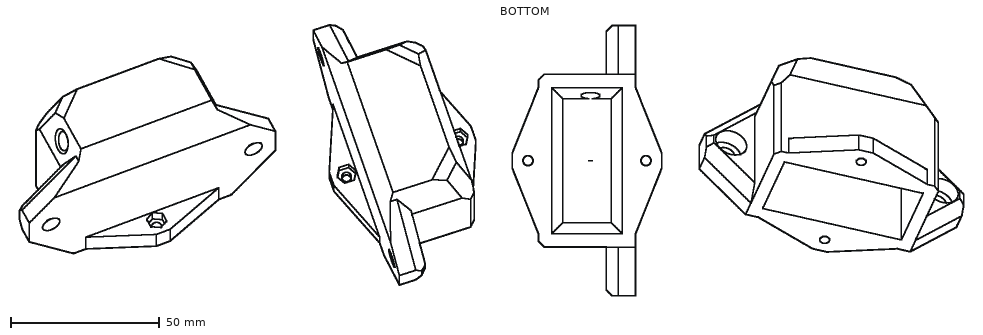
import cadquery as cq
import math

body_width = 32.9
body_length = 58.3
height = 52.0
taper_start = 36.9
top_inset = 4.9
wall = 4.6
post_chamfer = 2.0
taper_chamfer = 5.0
crown_height = 49.2
crown_chamfer = 9.1

ear_span = 91.3
ear_thickness = 9.95
ear_tip_bottom = 16.4
ear_tip_top = 27.6
ear_slope_chamfer = 4.1
ear_tip_chamfer = 2.0
ear_hole_spacing = 75.05
ear_hole_diameter = 6.3
ear_bore_diameter = 11.0
ear_bore_depth = 5.9

flange_width = 50.5
flange_thickness = 6.9
flange_root_length = 49.3
flange_tip_length = 5.1
flange_hole_x = 19.9
flange_hole_diameter = 3.3
nut_across_flats = 5.8
nut_depth = 3.65
hex_sides = 6

port_x = 1.2
port_z = 44.6
port_diameter = 6.4
port_mouth_diameter = 8.6
port_mouth_depth = 0.7

half_width = body_width / 2
half_length = body_length / 2
taper_slope = top_inset / (height - taper_start)
taper_angle = math.atan(taper_slope)


def tapered_block(inset):
    """Block with a tapered upper part, moved inwards by an even inset on its sides and top."""
    width = body_width - 2 * inset
    length = body_length - 2 * inset
    break_height = taper_start - inset * math.tan(taper_angle / 2)
    top_height = height - inset
    shrink = 2 * taper_slope * (top_height - break_height)
    lower = cq.Workplane("XY").rect(width, length).extrude(break_height)
    upper = (
        cq.Workplane("XY", origin=(0, 0, break_height))
        .rect(width, length)
        .workplane(offset=top_height - break_height)
        .rect(width - shrink, length - shrink)
        .loft(ruled=True)
    )
    return lower.union(upper)


def corner_wedge(side, levels):
    """Corner cutter at -X; levels pair each height with its leg from the block corner."""
    wedge = cq.Workplane("XY", origin=(-half_width, side * half_length, levels[0][0]))
    previous = levels[0][0]
    for level, leg in levels:
        wedge = wedge.workplane(offset=level - previous)
        wedge = wedge.polyline([(0, 0), (leg, 0), (0, -side * leg)]).close()
        previous = level
    return wedge.loft(ruled=True)


def make_body():
    body = tapered_block(0)
    facet_slope = 2 * taper_slope
    facet_start = taper_start - (taper_chamfer - post_chamfer) / facet_slope
    levels = [
        (0, post_chamfer),
        (facet_start, post_chamfer),
        (crown_height, taper_chamfer + facet_slope * (crown_height - taper_start)),
        (height, crown_chamfer + 2 * top_inset),
    ]
    for side in (-1, 1):
        body = body.cut(corner_wedge(side, levels))
    return body


def make_ears():
    half_span = ear_span / 2
    foot = half_span - ear_tip_bottom
    peak = half_span + ear_tip_top - height
    outline = [
        (-foot, 0), (foot, 0),
        (half_span, ear_tip_bottom), (half_span, ear_tip_top),
        (peak, height), (-peak, height),
        (-half_span, ear_tip_top), (-half_span, ear_tip_bottom),
    ]
    inner_face = half_width - ear_thickness
    ears = cq.Workplane("YZ", origin=(inner_face, 0, 0)).polyline(outline).close().extrude(ear_thickness)

    diagonal = math.sqrt(2)
    for side in (-1, 1):
        for direction, reach, leg in (
            ((side, 1), (half_span + ear_tip_top) / diagonal, ear_slope_chamfer),
            ((side, -1), (half_span - ear_tip_bottom) / diagonal, ear_slope_chamfer),
            ((side, 0), half_span, ear_tip_chamfer),
        ):
            frame = cq.Plane(
                origin=(inner_face, 0, 0),
                xDir=(0, direction[0], direction[1]),
                normal=(0, -direction[1], direction[0]),
            )
            bevel = (
                cq.Workplane(frame)
                .polyline([(reach, 0), (reach - leg, 0), (reach, -leg)])
                .close()
                .extrude(ear_span, both=True)
            )
            ears = ears.cut(bevel)

    lean = (
        cq.Workplane("XZ")
        .polyline([(half_width, taper_start), (half_width, height), (half_width - top_inset, height)])
        .close()
        .extrude(ear_span, both=True)
    )
    return ears.cut(lean)


def make_flange():
    tip = flange_width / 2
    outline = [
        (-tip, -flange_tip_length / 2), (-half_width, -flange_root_length / 2),
        (half_width, -flange_root_length / 2), (tip, -flange_tip_length / 2),
        (tip, flange_tip_length / 2), (half_width, flange_root_length / 2),
        (-half_width, flange_root_length / 2), (-tip, flange_tip_length / 2),
    ]
    flange = cq.Workplane("XY").polyline(outline).close().extrude(flange_thickness)
    nut_across_corners = nut_across_flats / math.cos(math.pi / hex_sides)
    points = [(-flange_hole_x, 0), (flange_hole_x, 0)]
    holes = cq.Workplane("XY").pushPoints(points).circle(flange_hole_diameter / 2).extrude(flange_thickness)
    nuts = (
        cq.Workplane("XY", origin=(0, 0, flange_thickness - nut_depth))
        .pushPoints(points)
        .polygon(hex_sides, nut_across_corners)
        .extrude(nut_depth)
    )
    return flange.cut(holes).cut(nuts)


def ear_hole_cutter():
    inner_face = half_width - ear_thickness
    centre_z = (ear_tip_bottom + ear_tip_top) / 2
    points = [(-ear_hole_spacing / 2, centre_z), (ear_hole_spacing / 2, centre_z)]
    plane = cq.Workplane("YZ", origin=(inner_face, 0, 0)).pushPoints(points)
    holes = plane.circle(ear_hole_diameter / 2).extrude(ear_thickness)
    return holes.union(plane.circle(ear_bore_diameter / 2).extrude(ear_bore_depth))


def port_cutter():
    """Level bore through the -Y wall, with a conical mouth square to the sloping face."""
    face_y = -half_length + taper_slope * (port_z - taper_start)
    frame = cq.Plane(
        origin=(port_x, face_y, port_z),
        xDir=(1, 0, 0),
        normal=(0, math.cos(taper_angle), -math.sin(taper_angle)),
    )
    mouth = (
        cq.Workplane(frame)
        .circle(port_mouth_diameter / 2)
        .workplane(offset=port_mouth_depth)
        .circle(port_diameter / 2)
        .loft()
    )
    bore_z = port_z - port_mouth_depth * math.sin(taper_angle)
    bore = cq.Workplane("XZ", origin=(port_x, 0, bore_z)).circle(port_diameter / 2).extrude(half_length)
    return bore.union(mouth)


result = make_body().union(make_ears()).union(make_flange())
result = result.cut(tapered_block(wall)).cut(ear_hole_cutter()).cut(port_cutter())